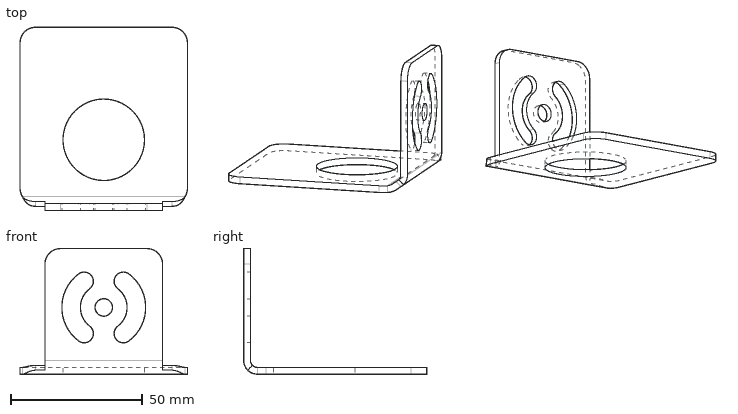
import cadquery as cq
import math

base_width = 64.0
depth = 70.0
height = 48.0

thickness = 2.65
inner_radius = 2.65
outer_radius = inner_radius + thickness
neutral_radius = 3.6
step_angle = math.radians(45)
corner_radius = 6.0

tab_width = 45.0
tab_center_z = height - tab_width / 2
pivot_diameter = 6.6
slot_mean_radius = 12.45
slot_width = 7.0
slot_half_angle = 53.0

opening_diameter = 31.0
opening_from_back = 43.0

bend_start_y = outer_radius
bend_axis_z = outer_radius

corner_on_bend = neutral_radius * step_angle
corner_on_flat = corner_radius - corner_on_bend
bend_line_angle = math.asin(corner_on_flat / corner_radius)
corner_steps = 12

cut_margin = 0.7


def bend_point(x, radius, angle):
    """Point on the bend; the angle is 0 at the base and 90 degrees at the tab."""
    y = bend_start_y - radius * math.sin(angle)
    z = bend_axis_z - radius * math.cos(angle)
    return cq.Vector(x, y, z)


def make_bend(width, angle):
    """Piece of the bend, starting at the base, centred on x = 0."""

    def section_point(radius, part):
        point = bend_point(0, radius, part * angle)
        return point.y, point.z

    return (
        cq.Workplane("YZ")
        .moveTo(*section_point(inner_radius, 0))
        .threePointArc(section_point(inner_radius, 0.5), section_point(inner_radius, 1))
        .lineTo(*section_point(outer_radius, 1))
        .threePointArc(section_point(outer_radius, 0.5), section_point(outer_radius, 0))
        .close()
        .extrude(width / 2, both=True)
    )


def make_base():
    """Flat base with rounded back corners and the flat part of the front corners."""
    side = base_width / 2
    arc_center_x = side - corner_radius
    arc_center_y = bend_start_y + corner_on_flat

    def corner_point(angle):
        return (
            arc_center_x + corner_radius * math.cos(angle),
            arc_center_y - corner_radius * math.sin(angle),
        )

    half = (
        cq.Workplane("XY")
        .moveTo(0, bend_start_y)
        .lineTo(*corner_point(bend_line_angle))
        .threePointArc(corner_point(bend_line_angle / 2), corner_point(0))
        .lineTo(side, depth - corner_radius)
        .radiusArc((arc_center_x, depth), -corner_radius)
        .lineTo(0, depth)
        .close()
        .extrude(thickness)
    )
    opening = (
        cq.Workplane("XY")
        .center(0, depth - opening_from_back)
        .circle(opening_diameter / 2)
        .extrude(thickness)
    )
    return half.union(half.mirror("YZ")).cut(opening)


def make_corner_cutter():
    """Waste outside the right front corner where it wraps around the bend.

    The corner is a true arc in the flat pattern; its edge wall is radial to the bend.
    """
    wrapped_sweep = math.pi / 2 - bend_line_angle
    corner_angles = [
        bend_line_angle + wrapped_sweep * step / corner_steps for step in range(corner_steps + 1)
    ]
    far_x = base_width / 2 + cut_margin

    def wrapped_edge(radius, on_corner):
        points = []
        for corner_angle in corner_angles:
            length = corner_radius * math.sin(corner_angle) - corner_on_flat
            corner_x = base_width / 2 - corner_radius * (1 - math.cos(corner_angle))
            x = corner_x if on_corner else far_x
            points.append(bend_point(x, radius, length / neutral_radius))
        return cq.Edge.makeSpline(points, parameters=corner_angles)

    low = inner_radius - cut_margin
    high = outer_radius + cut_margin
    edges = [
        wrapped_edge(low, True),
        wrapped_edge(high, True),
        wrapped_edge(high, False),
        wrapped_edge(low, False),
    ]
    faces = [cq.Face.makeRuledSurface(edges[i - 1], edges[i]) for i in range(4)]
    for end in (0, 1):
        corners = [edge.positionAt(end) for edge in edges]
        faces.append(cq.Face.makeFromWires(cq.Wire.makePolygon(corners, close=True)))
    return cq.Workplane(cq.Solid.makeSolid(cq.Shell.makeShell(faces)))


def make_slot(side):
    """Cutter for a round-ended arc slot about the tab centre; side is -1 or 1."""
    outer = slot_mean_radius + slot_width / 2
    inner = slot_mean_radius - slot_width / 2

    def polar(radius, degrees):
        angle = math.radians(degrees)
        return side * radius * math.cos(angle), radius * math.sin(angle)

    top = slot_half_angle
    end_x, end_z = polar(slot_mean_radius, top)
    cap_x = end_x - side * slot_width / 2 * math.sin(math.radians(top))
    cap_z = end_z + slot_width / 2 * math.cos(math.radians(top))
    return (
        cq.Workplane("XZ")
        .center(0, tab_center_z)
        .moveTo(*polar(outer, -top))
        .threePointArc(polar(outer, 0), polar(outer, top))
        .threePointArc((cap_x, cap_z), polar(inner, top))
        .threePointArc(polar(inner, 0), polar(inner, -top))
        .threePointArc((cap_x, -cap_z), polar(outer, -top))
        .close()
        .extrude(-thickness)
    )


def make_tab():
    """Upright tab with rounded top corners, a pivot hole and two arc slots."""
    tab = (
        cq.Workplane("XY")
        .box(tab_width, thickness, height - bend_axis_z, centered=(True, False, False))
        .translate((0, 0, bend_axis_z))
        .edges("|Y and >Z")
        .fillet(corner_radius)
    )
    pivot = (
        cq.Workplane("XZ")
        .center(0, tab_center_z)
        .circle(pivot_diameter / 2)
        .extrude(-thickness)
    )
    return tab.cut(pivot).cut(make_slot(-1)).cut(make_slot(1))


corner_cutter = make_corner_cutter()
wide_bend = make_bend(base_width, step_angle).cut(corner_cutter).cut(corner_cutter.mirror("YZ"))
tab_bend = make_bend(tab_width, math.pi / 2)

result = make_base().union(wide_bend).union(tab_bend).union(make_tab())